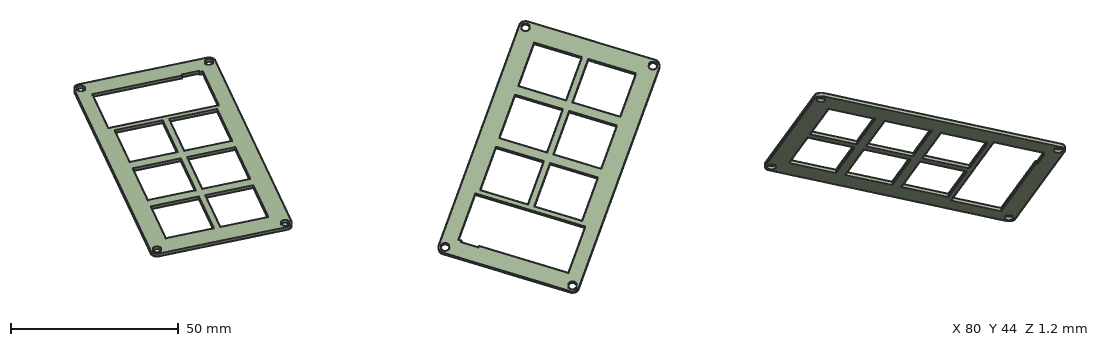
import cadquery as cq

LENGTH = 80.0
WIDTH = 44.0
THICKNESS = 1.2
CORNER_RADIUS = 2.0

HOLE_DIAMETER = 2.6
HOLE_INSET = CORNER_RADIUS

KEY_SIZE = 15.0
KEY_COLUMNS = 3
KEY_ROWS = 2
KEY_PITCH_X = 18.0
KEY_PITCH_Y = 17.0
KEY_GRID_LEFT = -17.0
KEY_GRID_BOTTOM = -16.0

DISPLAY_LEFT = -34.5
DISPLAY_RIGHT = -18.5
DISPLAY_BOTTOM = -17.5
DISPLAY_TOP = 17.0
NOTCH_DEPTH = 0.5
NOTCH_BOTTOM = 10.5
NOTCH_TOP = 16.0


def window(left, right, bottom, top):
    """Rectangular cutter through the full plate thickness."""
    return (
        cq.Workplane("XY")
        .moveTo((left + right) / 2, (bottom + top) / 2)
        .rect(right - left, top - bottom)
        .extrude(THICKNESS)
    )


def base_plate():
    """Rounded plate with a screw hole in each corner."""
    return (
        cq.Workplane("XY")
        .rect(LENGTH, WIDTH)
        .extrude(THICKNESS)
        .edges("|Z")
        .fillet(CORNER_RADIUS)
        .faces(">Z")
        .workplane()
        .rect(LENGTH - 2 * HOLE_INSET, WIDTH - 2 * HOLE_INSET, forConstruction=True)
        .vertices()
        .hole(HOLE_DIAMETER)
    )


def cut_key_windows(plate):
    """Cut the regular grid of key windows."""
    for column in range(KEY_COLUMNS):
        for row in range(KEY_ROWS):
            left = KEY_GRID_LEFT + column * KEY_PITCH_X
            bottom = KEY_GRID_BOTTOM + row * KEY_PITCH_Y
            plate = plate.cut(window(left, left + KEY_SIZE, bottom, bottom + KEY_SIZE))
    return plate


def cut_display_window(plate):
    """Cut the display window and the notch that widens it on the left."""
    opening = window(DISPLAY_LEFT, DISPLAY_RIGHT, DISPLAY_BOTTOM, DISPLAY_TOP)
    notch = window(DISPLAY_LEFT - NOTCH_DEPTH, DISPLAY_RIGHT, NOTCH_BOTTOM, NOTCH_TOP)
    return plate.cut(opening.union(notch))


result = cut_display_window(cut_key_windows(base_plate()))